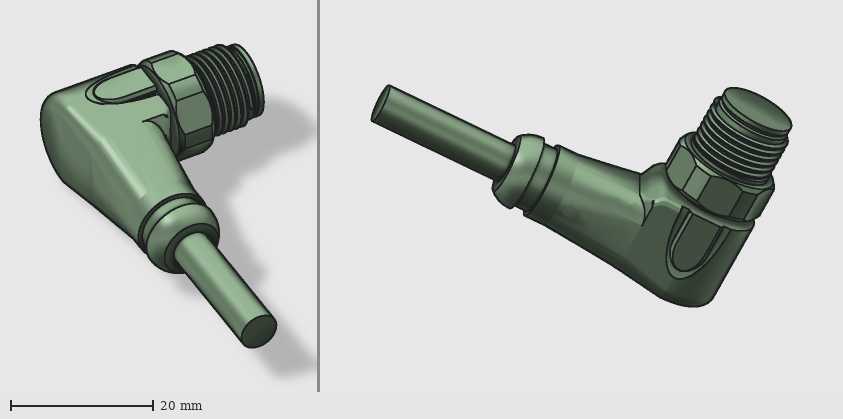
import cadquery as cq
import math


overall_length = 55.0

body_thickness = 15.0
body_radius = body_thickness / 2
body_bottom = -5.95
body_top = 8.05
base_round = 2.0
straight_end = 0.3

arm_start = 7.65
arm_end = 19.1
arm_start_width = 13.9
arm_half_width = arm_start_width / 2
arm_bottom = -5.3
arm_top = 5.9
arm_corner = 2.9
arm_end_radius = 5.5
flat_half_angle = 25

shoulder_radius = 1.65
shoulder_x = 6.15
blend_radius = 1.2
shoulder_start = 3.8
shoulder_base = arm_top - arm_corner
shoulder_edge_round = 0.9

collar_end = 22.0
groove_end = 24.4
groove_radius = 4.85
flange_middle = 26.25
flange_middle_radius = 5.15
flange_end = 27.55
flange_end_radius = 4.3
cable_radius = 2.8
cable_end = overall_length - body_radius

neck_radius = 4.25
nut_start = 9.25
nut_end = 14.85
nut_sides = 6
nut_across_flats = 14.15
nut_corner_radius = body_radius
nut_turn = 180 / nut_sides
nut_chamfer_length = 0.65
nut_chamfer_depth = 0.52
thread_pitch = 1.0
thread_crest_radius = 6.0
thread_collar_radius = 6.05
thread_root_radius = 5.4
thread_base_width = 0.75
thread_crest_width = 0.15
thread_start = 14.75
thread_turns = 7
thread_sink = 0.1
thread_collar_end = 15.45
sleeve_end = 22.45
sleeve_chamfer = 0.3
tip_groove_radius = 5.0
tip_groove_end = 22.9
tip_diameter = 10.6
tip_radius = tip_diameter / 2
plug_end = 23.65

recess_half_width = 3.85
recess_length = 9.8
recess_straight_length = 0.3
floor_middle_share = 0.75
recess_depth = body_radius - math.sqrt(body_radius**2 - recess_half_width**2)
pad_half_width = 2.7
pad_length = 8.95
pad_straight_length = 4.9
pad_bevel = 0.5
pad_top = 7.35
pad_base = 5.5


def rounded_section(x, half_width, bottom, top, bottom_round, top_round=0.0):
    """Rectangle across the cable axis at x, with its own corner radius at bottom and top."""
    slant = math.sqrt(0.5)

    def corner(sketch, y, z, radius, y_side, z_side, ends_on_side):
        if radius == 0:
            return sketch.lineTo(y, z)
        on_side = (y - y_side * radius, z)
        on_end = (y, z - z_side * radius)
        start, end = (on_end, on_side) if ends_on_side else (on_side, on_end)
        inset = radius * (1 - slant)
        middle = (y - y_side * inset, z - z_side * inset)
        return sketch.lineTo(*start).threePointArc(middle, end)

    sketch = cq.Workplane("YZ", origin=(x, 0, 0)).moveTo(bottom + bottom_round, -half_width)
    sketch = corner(sketch, top, -half_width, top_round, 1, -1, False)
    sketch = corner(sketch, top, half_width, top_round, 1, 1, True)
    sketch = corner(sketch, bottom, half_width, bottom_round, -1, 1, False)
    sketch = corner(sketch, bottom, -half_width, bottom_round, -1, -1, True)
    return sketch.close().val()


def circle_section(x, radius, half_angle):
    """Circle across the cable axis at x, split into eight arcs that match a rounded rectangle."""

    def point(degrees):
        angle = math.radians(degrees)
        return (radius * math.cos(angle), radius * math.sin(angle))

    corner_span = 90 - 2 * half_angle
    angle = 180 + half_angle + corner_span
    sketch = cq.Workplane("YZ", origin=(x, 0, 0)).moveTo(*point(angle))
    for span in [2 * half_angle, corner_span] * 4:
        sketch = sketch.threePointArc(point(angle + span / 2), point(angle + span))
        angle += span
    return sketch.close().val()


def loft(*sections):
    return cq.Workplane(cq.Solid.makeLoft(list(sections), True))


def revolve_about_y(points):
    return cq.Workplane("XY").polyline(points).close().revolve(360, (0, 0, 0), (0, 1, 0))


def make_barrel():
    """Half-round end of the body about the plug axis, rounded at its closed end."""
    height = body_top - body_bottom
    barrel = cq.Workplane("XZ", origin=(0, body_top, 0)).circle(body_radius).extrude(height)
    barrel = barrel.faces("<Y").edges().fillet(base_round)
    keep = cq.Workplane("XY", origin=(-body_radius, 0, 0))
    keep = keep.box(2 * body_radius, 4 * body_radius, 4 * body_radius)
    return barrel.intersect(keep)


def make_taper():
    """Middle of the body: a short straight stretch, then narrowing to the width of the arm."""
    middle = rounded_section(0, body_radius, body_bottom, body_top, base_round)
    taper_start = rounded_section(straight_end, body_radius, body_bottom, body_top, base_round)
    taper_end = rounded_section(arm_start, arm_half_width, arm_bottom, body_top, arm_corner)
    return loft(middle, taper_start).union(loft(taper_start, taper_end))


def make_arm():
    """Rounded rectangle that blends into the round collar."""
    return loft(
        rounded_section(arm_start, arm_half_width, arm_bottom, arm_top, arm_corner, arm_corner),
        circle_section(arm_end, arm_end_radius, flat_half_angle),
    )


def make_shoulder_space():
    """Block of space above the arm that the shoulder takes over from the tapered body."""
    corner = (shoulder_start, shoulder_base, -body_radius)
    length = arm_end - shoulder_start
    return cq.Workplane("XY", origin=corner).box(length, body_top, 2 * body_radius, centered=False)


def make_shoulder():
    """Top block of the body: its far end rolls over and blends down on to the arm."""
    slant = math.sqrt(0.5)
    roll_y = body_top - shoulder_radius
    blend_y = arm_top + blend_radius
    blend_x = shoulder_x + roll_y - blend_y + (shoulder_radius + blend_radius) / slant
    meet = (shoulder_x + shoulder_radius * slant, roll_y + shoulder_radius * slant)
    roll_middle_angle = math.radians(67.5)
    roll_middle = (
        shoulder_x + shoulder_radius * math.cos(roll_middle_angle),
        roll_y + shoulder_radius * math.sin(roll_middle_angle),
    )
    blend_middle = (
        blend_x - blend_radius * math.cos(roll_middle_angle),
        blend_y - blend_radius * math.sin(roll_middle_angle),
    )
    meet_end = (blend_x - blend_radius * slant, blend_y - blend_radius * slant)
    profile = (
        cq.Workplane("XY", origin=(0, 0, -body_radius))
        .moveTo(shoulder_start, shoulder_base)
        .lineTo(shoulder_start, body_top)
        .lineTo(shoulder_x, body_top)
        .threePointArc(roll_middle, meet)
        .lineTo(*meet_end)
        .threePointArc(blend_middle, (blend_x, arm_top))
        .lineTo(arm_start, shoulder_base)
        .close()
        .extrude(2 * body_radius)
    )
    end_width = arm_half_width - arm_corner
    plan = (
        cq.Workplane("XZ", origin=(0, body_top, 0))
        .polyline(
            [
                (straight_end, -body_radius),
                (arm_start, -arm_half_width),
                (blend_x, -end_width),
                (blend_x, end_width),
                (arm_start, arm_half_width),
                (straight_end, body_radius),
            ]
        )
        .close()
        .extrude(body_top - shoulder_base)
    )
    block = profile.intersect(plan)
    upper_rim = cq.selectors.BoxSelector(
        (shoulder_x, arm_top, end_width), (blend_x, body_top, body_radius)
    )
    lower_rim = cq.selectors.BoxSelector(
        (shoulder_x, arm_top, -body_radius), (blend_x, body_top, -end_width)
    )
    return block.edges(upper_rim + lower_rim).fillet(shoulder_edge_round)


def make_cable_side():
    """Collar, groove, rounded flange and cable, turned about the X axis."""
    return (
        cq.Workplane("XY")
        .moveTo(arm_end, 0)
        .lineTo(arm_end, arm_end_radius)
        .lineTo(collar_end, arm_end_radius)
        .lineTo(collar_end, groove_radius)
        .lineTo(groove_end, groove_radius)
        .lineTo(groove_end, arm_end_radius)
        .threePointArc((flange_middle, flange_middle_radius), (flange_end, flange_end_radius))
        .lineTo(flange_end, cable_radius)
        .lineTo(cable_end, cable_radius)
        .lineTo(cable_end, 0)
        .close()
        .revolve(360, (0, 0, 0), (1, 0, 0))
    )


def make_nut():
    """Hexagon with two flats facing up and down, its corners turned round and both ends chamfered."""
    hexagon = (
        cq.Workplane("XZ", origin=(0, nut_end, 0))
        .polygon(nut_sides, nut_across_flats, circumscribed=True)
        .extrude(nut_end - nut_start)
        .rotate((0, 0, 0), (0, 1, 0), nut_turn)
    )
    end_radius = nut_corner_radius - nut_chamfer_depth
    turned = revolve_about_y(
        [
            (0, nut_start),
            (end_radius, nut_start),
            (nut_corner_radius, nut_start + nut_chamfer_length),
            (nut_corner_radius, nut_end - nut_chamfer_length),
            (end_radius, nut_end),
            (0, nut_end),
        ]
    )
    return hexagon.intersect(turned)


def make_plug_core():
    """Neck below the nut and the stepped sleeve above it, without the thread ridge."""
    return revolve_about_y(
        [
            (0, 0),
            (neck_radius, 0),
            (neck_radius, nut_end),
            (thread_collar_radius, nut_end),
            (thread_collar_radius, thread_collar_end),
            (thread_root_radius, thread_collar_end),
            (thread_root_radius, sleeve_end - sleeve_chamfer),
            (tip_groove_radius, sleeve_end),
            (tip_groove_radius, tip_groove_end),
            (tip_radius, tip_groove_end),
            (tip_radius, plug_end),
            (0, plug_end),
        ]
    )


def make_thread():
    """Right-handed ridge swept along a helix about the plug axis."""
    inner_radius = thread_root_radius - thread_sink
    height = thread_turns * thread_pitch
    helix = cq.Wire.makeHelix(thread_pitch, height, inner_radius)
    ridge = (
        cq.Workplane("XZ")
        .polyline(
            [
                (inner_radius, -thread_base_width / 2),
                (thread_crest_radius, -thread_crest_width / 2),
                (thread_crest_radius, thread_crest_width / 2),
                (inner_radius, thread_base_width / 2),
            ]
        )
        .close()
        .sweep(cq.Workplane(helix), isFrenet=True)
    )
    return ridge.rotate((0, 0, 0), (1, 0, 0), -90).translate((0, thread_start, 0))


def tongue(half_width, length, straight_length, height):
    """Block under a tongue that runs in from the body top: straight sides, then a half-ellipse tip."""
    side_end = body_top - straight_length
    return (
        cq.Workplane("XY")
        .moveTo(half_width, side_end)
        .lineTo(half_width, body_top)
        .lineTo(-half_width, body_top)
        .lineTo(-half_width, side_end)
        .ellipseArc(half_width, length - straight_length, 180, 360, startAtCurrent=True)
        .close()
        .extrude(height)
    )


def make_recess():
    """Label recess of the upper broad side: its floor sinks towards the body top."""
    tip = body_top - recess_length
    floor = (
        cq.Workplane("YZ", origin=(-recess_half_width, 0, 0))
        .moveTo(tip, body_radius)
        .threePointArc(
            (body_top - recess_length / 2, body_radius - floor_middle_share * recess_depth),
            (body_top, body_radius - recess_depth),
        )
        .lineTo(body_top, body_radius)
        .close()
        .extrude(2 * recess_half_width)
    )
    return floor.intersect(tongue(recess_half_width, recess_length, recess_straight_length, body_radius))


def make_pad():
    """Flat label pad that stands in the recess of the upper broad side, bevelled along its rim."""
    pad = tongue(pad_half_width, pad_length, pad_straight_length, pad_top)
    pad = pad.faces(">Z").edges("not >Y").chamfer(pad_bevel)
    below = cq.Workplane("XY").box(2 * body_radius, 4 * body_radius, 2 * pad_base)
    return pad.cut(below)


result = make_barrel().union(make_taper()).cut(make_shoulder_space())
result = result.union(make_arm()).union(make_shoulder()).union(make_cable_side())

recess = make_recess()
pad = make_pad()
result = result.cut(recess).cut(recess.mirror("XY"))
result = result.union(pad).union(pad.mirror("XY"))

plug = make_plug_core().union(make_thread()).union(make_nut())
result = result.union(plug)